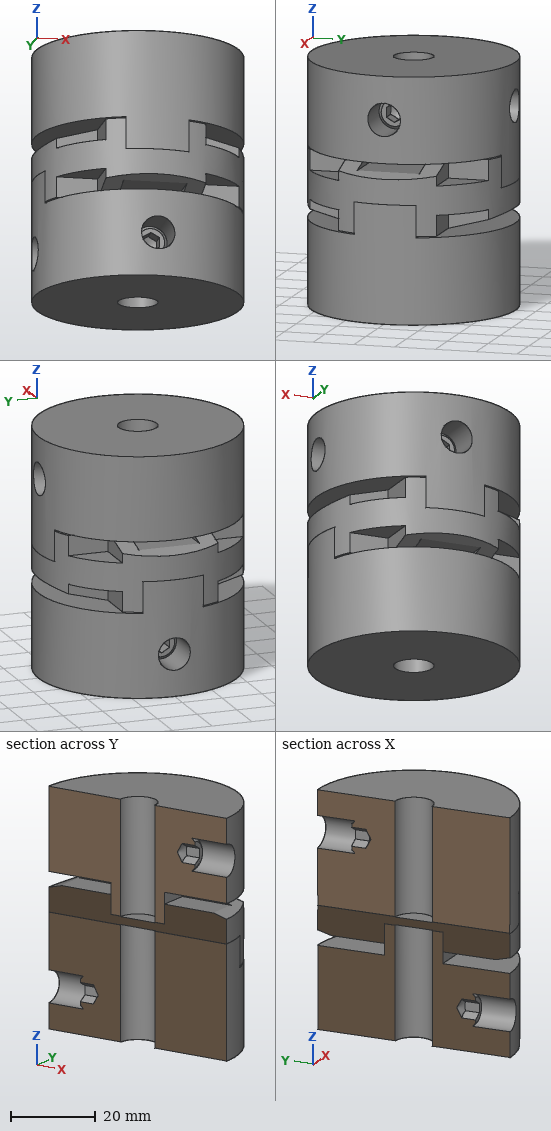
import cadquery as cq
import math

total_height = 59.6
outer_diameter = 50.0
outer_radius = outer_diameter / 2

hub_height = 21.0
bore_diameter = 9.55
tongue_width = 15.2
slot_depth = 7.5
face_gap = 0.3
tongue_height = slot_depth + face_gap

screw_diameter = 8.0
screw_end_diameter = 6.5
screw_face_radius = 16.1
socket_across_flats = 4.0
socket_depth = 3.6
drill_tip_angle = 120.0

disc_height = total_height - 2 * (hub_height + face_gap)
ridge_width = 24.0
slope_angle = 15.0
corner_notch_depth = 5.0
pocket_depth = 2.5

hub_face_z = total_height / 2 - hub_height
disc_top_z = disc_height / 2


def turn_over(shape):
    """Half turn about the horizontal diagonal: swaps top and bottom and crosses X with Y."""
    return shape.rotate((0, 0, 0), (1, -1, 0), 180)


def box_from(z_bottom, size_x, size_y, size_z):
    """Box centred on the coupling axis, standing on z_bottom."""
    return (
        cq.Workplane("XY")
        .workplane(offset=z_bottom)
        .rect(size_x, size_y)
        .extrude(size_z)
    )


def cylinder_from(z_bottom, height):
    return cq.Workplane("XY").workplane(offset=z_bottom).circle(outer_radius).extrude(height)


def screw_recess():
    """Radial hole on the +X side, down to a chamfered screw end with a hex socket."""
    hole_radius = screw_diameter / 2
    end_radius = screw_end_diameter / 2
    end_chamfer = hole_radius - end_radius
    hole_z = total_height / 2 - hub_height / 2
    axis_plane = cq.Workplane("XZ", origin=(0, 0, hole_z))

    hole = (
        axis_plane
        .moveTo(screw_face_radius, 0)
        .lineTo(outer_radius, 0)
        .lineTo(outer_radius, hole_radius)
        .lineTo(screw_face_radius - end_chamfer, hole_radius)
        .lineTo(screw_face_radius, end_radius)
        .close()
        .revolve(360, (0, 0), (1, 0))
    )

    socket_corner_radius = socket_across_flats / math.sqrt(3)
    tip_length = socket_corner_radius / math.tan(math.radians(drill_tip_angle / 2))
    socket_bottom_x = screw_face_radius - socket_depth
    drilling = (
        axis_plane
        .moveTo(screw_face_radius, 0)
        .lineTo(screw_face_radius, socket_corner_radius)
        .lineTo(socket_bottom_x, socket_corner_radius)
        .lineTo(socket_bottom_x - tip_length, 0)
        .close()
        .revolve(360, (0, 0), (1, 0))
    )
    hexagon_plane = cq.Plane(
        origin=(screw_face_radius, 0, hole_z), xDir=(0, 0, 1), normal=(-1, 0, 0)
    )
    hexagon = (
        cq.Workplane(hexagon_plane)
        .polygon(6, 2 * socket_corner_radius)
        .extrude(socket_depth + tip_length)
    )
    return hole.union(drilling.intersect(hexagon))


def make_hub():
    """Upper hub: tongue along Y, set screws on the +X and +Y sides."""
    body = cylinder_from(hub_face_z, hub_height)
    tongue_bottom_z = hub_face_z - tongue_height
    tongue = box_from(tongue_bottom_z, tongue_width, outer_diameter, tongue_height)
    tongue = tongue.intersect(cylinder_from(tongue_bottom_z, tongue_height))
    bore = (
        cq.Workplane("XY")
        .workplane(offset=tongue_bottom_z)
        .circle(bore_diameter / 2)
        .extrude(tongue_height + hub_height)
    )
    hub = body.union(tongue).cut(bore)
    for angle in (0, 90):
        hub = hub.cut(screw_recess().rotate((0, 0, 0), (0, 0, 1), angle))
    return hub


def disc_top_cuts():
    """Everything removed from the upper side of the disc."""
    cuts = box_from(disc_top_z - slot_depth, tongue_width, outer_diameter, slot_depth)

    cuts = cuts.union(
        box_from(disc_top_z - pocket_depth, outer_diameter, tongue_width, pocket_depth)
    )

    ridge_edge = ridge_width / 2
    slope_drop = (outer_radius - ridge_edge) * math.tan(math.radians(slope_angle))
    for side in (1, -1):
        slope = (
            cq.Workplane("XZ")
            .moveTo(side * ridge_edge, disc_top_z)
            .lineTo(side * outer_radius, disc_top_z)
            .lineTo(side * outer_radius, disc_top_z - slope_drop)
            .close()
            .extrude(outer_radius, both=True)
        )
        cuts = cuts.union(slope)

    notch_size = outer_radius - ridge_edge
    notch_centre = ridge_edge + notch_size / 2
    for x_side in (1, -1):
        for y_side in (1, -1):
            notch = box_from(
                disc_top_z - corner_notch_depth, notch_size, notch_size, corner_notch_depth
            )
            cuts = cuts.union(notch.translate((x_side * notch_centre, y_side * notch_centre, 0)))
    return cuts


def make_disc():
    """Floating disc: the same cuts above and below, crossed at right angles."""
    cuts = disc_top_cuts()
    return cylinder_from(-disc_top_z, disc_height).cut(cuts).cut(turn_over(cuts))


upper_hub = make_hub()
lower_hub = turn_over(make_hub())
floating_disc = make_disc()

result = cq.Compound.makeCompound(
    [*upper_hub.solids().vals(), *lower_hub.solids().vals(), *floating_disc.solids().vals()]
)